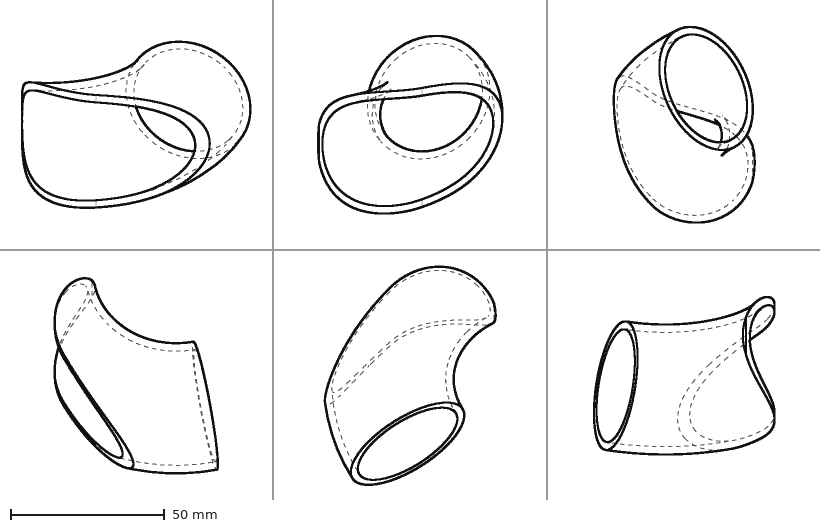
import cadquery as cq
import math

outer_reach = 69.2
pipe_diameter = 42.4
wall = 2.6
bend_angle = 90.0

pipe_radius = pipe_diameter / 2
bore_radius = pipe_radius - wall
bend_radius = outer_reach - pipe_radius

part_depth = 44.4
small_arc_radius = 24.0
small_arc_x = 22.85
small_arc_y = small_arc_radius - part_depth
large_arc_radius = 128.0
join_angle = 17.5
trim_margin = 3.45


def point_on_arc(center, radius, angle):
    """Point at an angle in degrees, measured from -Y toward +X."""
    turn = math.radians(angle)
    return (center[0] + radius * math.sin(turn), center[1] - radius * math.cos(turn))


def make_elbow():
    """Quarter of a hollow torus, from the XZ plane round to the YZ plane."""
    wall_ring = cq.Workplane("XZ").center(bend_radius, 0).circle(pipe_radius).circle(bore_radius)
    return wall_ring.revolve(bend_angle, (-bend_radius, 0), (-bend_radius, -1))


def make_trim_block():
    """Block of full height whose lower edge is the trim line."""
    small_center = (small_arc_x, small_arc_y)
    large_center = point_on_arc(small_center, small_arc_radius - large_arc_radius, join_angle)

    start_angle = -math.degrees(math.asin(small_arc_x / small_arc_radius))
    right_x = outer_reach + trim_margin
    end_angle = math.degrees(math.asin((right_x - large_center[0]) / large_arc_radius))

    def small_arc(angle):
        return point_on_arc(small_center, small_arc_radius, angle)

    def large_arc(angle):
        return point_on_arc(large_center, large_arc_radius, angle)

    outline = (
        cq.Workplane("XY")
        .moveTo(0, trim_margin)
        .lineTo(*small_arc(start_angle))
        .threePointArc(small_arc((start_angle + join_angle) / 2), small_arc(join_angle))
        .threePointArc(large_arc((join_angle + end_angle) / 2), large_arc(end_angle))
        .lineTo(right_x, trim_margin)
        .close()
    )
    return outline.extrude(pipe_radius + trim_margin, both=True)


result = make_elbow().intersect(make_trim_block())